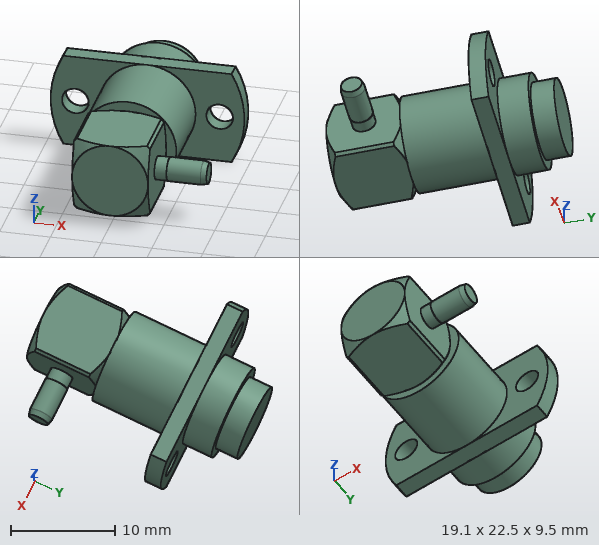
import cadquery as cq
import math

total_length = 22.5

block_size = 7.5
block_bar_diameter = 10.2
block_cone_angle = 32.0

barrel_diameter = 9.5
spigot_diameter = 7.63
spigot_length = 2.3
flange_span = 19.1
flange_thickness = 1.69
flange_setback = 3.05
hole_diameter = 2.6
hole_spacing = 14.22

neck_diameter = 2.3
neck_length = 1.2
shank_diameter = 2.36
tip_diameter = 2.07
tip_length = 0.58
pin_length = 5.1

barrel_start = block_size
barrel_end = total_length - spigot_length
flange_end = barrel_end - flange_setback
flange_start = flange_end - flange_thickness
block_center = block_size / 2


def cylinder_along_y(diameter, start, end):
    """Solid cylinder on the Y axis between two stations."""
    radius = diameter / 2
    base = cq.Vector(0, start, 0)
    return cq.Workplane(cq.Solid.makeCylinder(radius, end - start, base, cq.Vector(0, 1, 0)))


def make_block():
    """Square block whose corners are trimmed by a bar with conical ends."""
    face_radius = block_size / 2
    bar_radius = block_bar_diameter / 2
    cone_depth = (bar_radius - face_radius) * math.tan(math.radians(block_cone_angle))
    bar = (
        cq.Workplane("XY")
        .moveTo(0, 0)
        .lineTo(face_radius, 0)
        .lineTo(bar_radius, cone_depth)
        .lineTo(bar_radius, block_size - cone_depth)
        .lineTo(face_radius, block_size)
        .lineTo(0, block_size)
        .close()
        .revolve(360, (0, 0, 0), (0, 1, 0))
    )
    square = cq.Workplane("XY").box(block_size, block_size, block_size).translate((0, block_center, 0))
    return square.intersect(bar)


def make_flange():
    """Round-ended plate as tall as the barrel, without its holes."""
    disc = cylinder_along_y(flange_span, flange_start, flange_end)
    strip = (
        cq.Workplane("XY")
        .box(flange_span, flange_thickness, barrel_diameter)
        .translate((0, (flange_start + flange_end) / 2, 0))
    )
    return disc.intersect(strip)


def make_housing():
    """Barrel, rear spigot and drilled flange as one body."""
    barrel = cylinder_along_y(barrel_diameter, barrel_start, barrel_end)
    spigot = cylinder_along_y(spigot_diameter, barrel_end, total_length)
    housing = barrel.union(spigot).union(make_flange())
    for side in (-1, 1):
        hole = cylinder_along_y(hole_diameter, flange_start, flange_end)
        housing = housing.cut(hole.translate((side * hole_spacing / 2, 0, 0)))
    return housing


def make_pin():
    """Stepped pin along X, standing on the +X face of the block."""
    neck_end = block_size / 2 + neck_length
    pin_end = block_size / 2 + pin_length
    shank_end = pin_end - tip_length
    return (
        cq.Workplane("XY")
        .moveTo(block_size / 2, 0)
        .lineTo(block_size / 2, neck_diameter / 2)
        .lineTo(neck_end, neck_diameter / 2)
        .lineTo(neck_end, shank_diameter / 2)
        .lineTo(shank_end, shank_diameter / 2)
        .lineTo(pin_end, tip_diameter / 2)
        .lineTo(pin_end, 0)
        .close()
        .revolve(360, (0, 0, 0), (1, 0, 0))
        .translate((0, block_center, 0))
    )


block = make_block()
housing = make_housing()
pin = make_pin()

result = cq.Compound.makeCompound([block.val(), housing.val(), pin.val()])